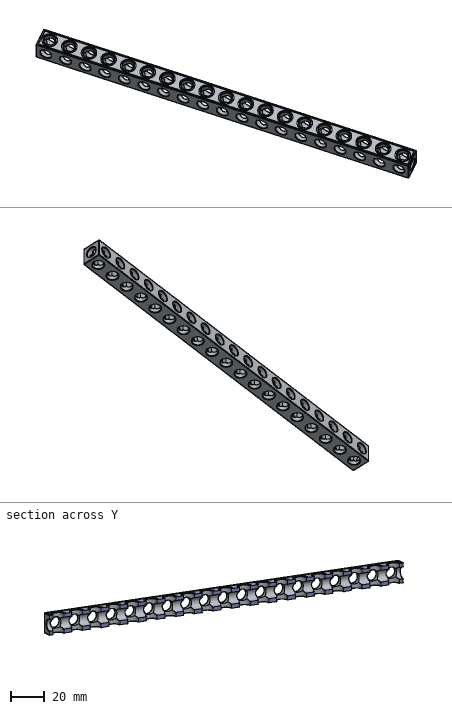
import cadquery as cq

pitch = 12.5
cell_count = 19
beam_side = pitch
beam_length = cell_count * pitch

hole_diameter = 7.0
boss_diameter = 9.2
rim_thickness = (boss_diameter - hole_diameter) / 2
tray_depth = 0.2
edge_chamfer = 0.3

half_side = beam_side / 2
hole_centers = [((i - (cell_count - 1) / 2) * pitch, 0) for i in range(cell_count)]


def make_beam():
    return cq.Workplane("XY").box(beam_length, beam_side, beam_side).edges().chamfer(edge_chamfer)


def cut_tray(beam):
    """Sink a tray into the top, leaving a rim and a ring-shaped boss around every vertical hole."""
    tray = (
        cq.Workplane("XY", origin=(0, 0, half_side - tray_depth))
        .rect(beam_length - 2 * rim_thickness, beam_side - 2 * rim_thickness)
        .extrude(tray_depth)
    )
    bosses = (
        cq.Workplane("XY", origin=(0, 0, half_side - tray_depth))
        .pushPoints(hole_centers)
        .circle(boss_diameter / 2)
        .extrude(tray_depth)
    )
    return beam.cut(tray.cut(bosses))


def make_hole(length):
    """Hole cutter along Z, centred on the origin, flared at both ends by the edge chamfer."""
    radius = hole_diameter / 2
    flared_radius = radius + edge_chamfer
    half_length = length / 2
    profile = [
        (0, -half_length),
        (flared_radius, -half_length),
        (radius, -half_length + edge_chamfer),
        (radius, half_length - edge_chamfer),
        (flared_radius, half_length),
        (0, half_length),
    ]
    return cq.Workplane("XZ").polyline(profile).close().revolve(360, (0, 0, 0), (0, 1, 0))


def cut_holes(beam):
    """Vertical and crosswise holes in every cell, plus one bore along the whole beam."""
    vertical = make_hole(beam_side)
    crosswise = vertical.rotate((0, 0, 0), (1, 0, 0), 90)
    lengthwise = make_hole(beam_length).rotate((0, 0, 0), (0, 1, 0), 90)
    for x, y in hole_centers:
        beam = beam.cut(vertical.translate((x, y, 0)))
        beam = beam.cut(crosswise.translate((x, y, 0)))
    return beam.cut(lengthwise)


result = cut_holes(cut_tray(make_beam()))